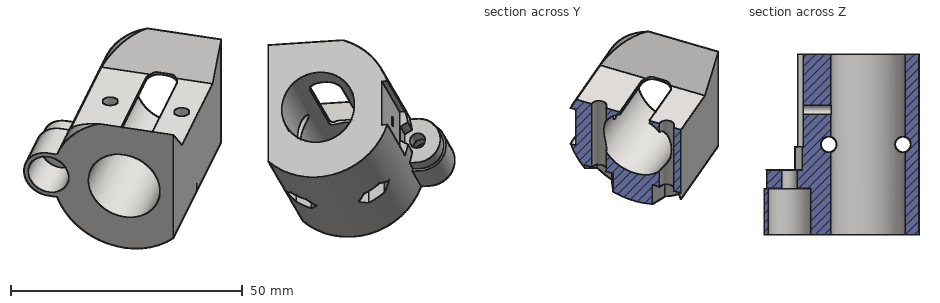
import cadquery as cq
import math


length = 39.0
body_radius = 16.0
top_height = 15.0
flat_side_x = 11.0
saddle_height = 8.0
saddle_run = top_height - saddle_height

bore_radius = 8.0
window_width = 7.0
window_length = 26.0
window_corner_radius = 2.0

boss_x = -16.93
boss_radius = 5.5
boss_length = 10.0
neck_radius = 5.0
neck_end = 14.0
socket_radius = 4.52
screw_diameter = 3.3
channel_flats = 5.5

slot_start = 19.0
slot_floor_x = -14.0
slot_height = 2 * neck_radius
pin_hole_diameter = 2.1
pin_hole_y = 27.0

clamp_center_x = -0.45
clamp_spacing = 16.0
nut_flats = 5.8
nut_pocket_ceiling = -10.0


def rod(radius, x, start, end):
    """Cylinder parallel to Y between two Y positions."""
    return cq.Workplane("XZ", origin=(x, start, 0)).circle(radius).extrude(start - end)


def hex_corner_diameter(flats):
    """Distance across the corners of a hexagon from its distance across flats."""
    return 2 * flats / math.sqrt(3)


def block(x_min, x_max, y_min, y_max, z_min, z_max):
    size = (x_max - x_min, y_max - y_min, z_max - z_min)
    return cq.Workplane("XY", origin=(x_min, y_min, z_min)).box(*size, centered=False)


def make_body():
    envelope = block(-body_radius, flat_side_x, 0, length, -body_radius, top_height)
    return rod(body_radius, 0, 0, length).intersect(envelope).union(
        block(0, flat_side_x, 0, length, 0, top_height)
    )


def make_saddle():
    """Trapezoidal prism removed from the top of the body."""
    return (
        cq.Workplane("YZ", origin=(-body_radius, 0, 0))
        .moveTo(0, top_height)
        .lineTo(saddle_run, saddle_height)
        .lineTo(length - saddle_run, saddle_height)
        .lineTo(length, top_height)
        .close()
        .extrude(body_radius + flat_side_x)
    )


def make_window():
    """Round-cornered window from the top down into the bore."""
    return (
        cq.Workplane("XY", origin=(0, length / 2, 0))
        .rect(window_width, window_length)
        .extrude(top_height)
        .edges("|Z")
        .fillet(window_corner_radius)
    )


def make_boss_section(radius, end):
    """Round boss with flat flanks running into the body."""
    web = block(boss_x, -bore_radius, 0, end, -radius, radius)
    return rod(radius, boss_x, 0, end).union(web)


def make_nut_channel():
    """Hexagonal channel along Y with a flat as its floor."""
    return (
        cq.Workplane("XZ", origin=(boss_x, neck_end, 0))
        .transformed(rotate=(0, 0, 90))
        .polygon(6, hex_corner_diameter(channel_flats))
        .extrude(neck_end - slot_start)
    )


def make_pin_hole():
    return (
        cq.Workplane("YZ", origin=(-body_radius, pin_hole_y, 0))
        .circle(pin_hole_diameter / 2)
        .extrude(body_radius)
    )


def make_clamp_hole(x):
    """Vertical screw hole with a hexagonal nut pocket opening at the bottom."""
    base = cq.Workplane("XY", origin=(x, length / 2, -body_radius))
    screw = base.circle(screw_diameter / 2).extrude(body_radius + top_height)
    pocket = base.polygon(6, hex_corner_diameter(nut_flats)).extrude(
        nut_pocket_ceiling + body_radius
    )
    return screw.union(pocket)


result = make_body().cut(make_saddle())
result = result.union(make_boss_section(boss_radius, boss_length))
result = result.union(make_boss_section(neck_radius, neck_end))

result = result.cut(rod(bore_radius, 0, 0, length))
result = result.cut(make_window())

result = result.cut(rod(socket_radius, boss_x, 0, boss_length))
result = result.cut(rod(screw_diameter / 2, boss_x, 0, neck_end))
result = result.cut(make_nut_channel())

half_slot = slot_height / 2
result = result.cut(
    block(-body_radius, slot_floor_x, slot_start, length, -half_slot, half_slot)
)
result = result.cut(make_pin_hole())

for side in (-1, 1):
    result = result.cut(make_clamp_hole(clamp_center_x + side * clamp_spacing / 2))